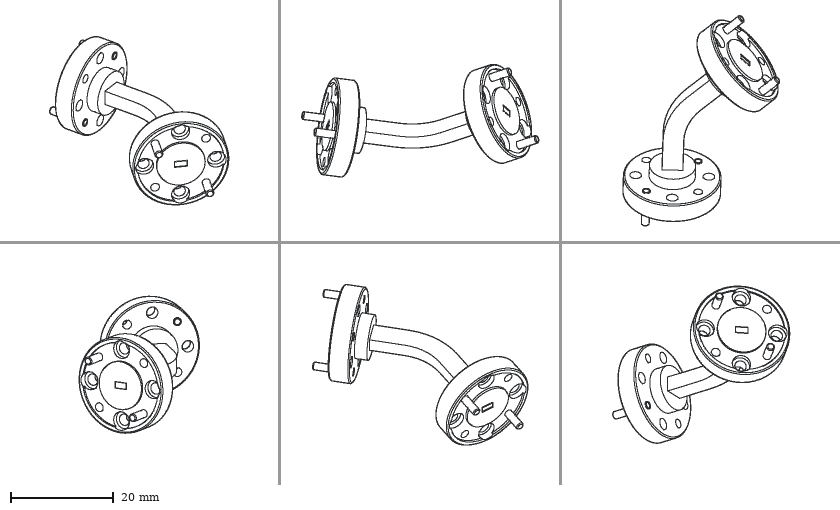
import cadquery as cq
import math

guide_width = 4.05
guide_height = 3.0
bend_angle = 45.0
bend_radius = 12.7
leg_length = 13.85

flange_dia = 19.05
flange_thickness = 4.25
flange_chamfer = 0.25
hub_dia = 9.0
hub_length = 2.5
boss_dia = 9.6
ring_dia = 17.1
ring_depth = 0.47
aperture_width = 2.5
aperture_height = 1.25
aperture_depth = 0.2

pitch_dia = 14.3
screw_hole_dia = 2.25
counterbore_dia = 3.6
counterbore_depth = 1.5
free_hole_dia = 1.73
screw_angles = [0, 90, 180, 270]
free_hole_angles = [45, 225]
dowel_angles = [135, 315]

dowel_dia = 1.55
dowel_reach = 3.85
dowel_chamfer = 0.2
dowel_length = flange_thickness + dowel_reach

turn = math.radians(bend_angle)
leg_direction = cq.Vector(math.cos(turn), -math.sin(turn), 0)
bend_start = cq.Vector(leg_length, 0, 0)
bend_middle = bend_start + cq.Vector(
    bend_radius * math.sin(turn / 2), -bend_radius * (1 - math.cos(turn / 2)), 0
)
bend_end = bend_start + cq.Vector(
    bend_radius * math.sin(turn), -bend_radius * (1 - math.cos(turn)), 0
)
guide_end = bend_end + leg_direction * leg_length

first_face = cq.Plane(origin=(0, 0, 0), xDir=(0, -1, 0), normal=(-1, 0, 0))
second_face = cq.Plane(
    origin=guide_end.toTuple(),
    xDir=(math.sin(turn), math.cos(turn), 0),
    normal=leg_direction.toTuple(),
)
face_planes = [first_face, second_face]


def pitch_points(angles):
    """Points on the pitch circle at the given angles in degrees."""
    radius = pitch_dia / 2
    return [
        (radius * math.cos(math.radians(angle)), radius * math.sin(math.radians(angle)))
        for angle in angles
    ]


def make_guide():
    """Solid bar, running from half-way through one flange to half-way through the other."""
    inset = flange_thickness / 2
    start = cq.Vector(inset, 0, 0)
    end = guide_end - leg_direction * inset
    path = (
        cq.Workplane("XY")
        .moveTo(start.x, start.y)
        .lineTo(bend_start.x, bend_start.y)
        .threePointArc((bend_middle.x, bend_middle.y), (bend_end.x, bend_end.y))
        .lineTo(end.x, end.y)
    )
    return cq.Workplane("YZ", origin=start.toTuple()).rect(guide_width, guide_height).sweep(path)


def make_flange_blank(plane):
    """Chamfered disc with the hub on its back."""
    disc = cq.Workplane(plane).circle(flange_dia / 2).extrude(-flange_thickness)
    disc = disc.edges().chamfer(flange_chamfer)
    hub = cq.Workplane(plane).circle(hub_dia / 2).extrude(-(flange_thickness + hub_length))
    return disc.union(hub)


def make_flange_cuts(plane):
    """Ring recess, aperture and holes, as solids to remove from a flange."""
    face = cq.Workplane(plane)
    ring = face.circle(ring_dia / 2).circle(boss_dia / 2).extrude(-ring_depth)
    aperture = face.rect(aperture_width, aperture_height).extrude(-aperture_depth)
    screws = face.pushPoints(pitch_points(screw_angles))
    screw_holes = screws.circle(screw_hole_dia / 2).extrude(-flange_thickness)
    counterbores = screws.circle(counterbore_dia / 2).extrude(-counterbore_depth)
    free_holes = (
        face.pushPoints(pitch_points(free_hole_angles))
        .circle(free_hole_dia / 2)
        .extrude(-flange_thickness)
    )
    dowel_holes = (
        face.pushPoints(pitch_points(dowel_angles))
        .circle(dowel_dia / 2)
        .extrude(-flange_thickness)
    )
    return [ring, aperture, screw_holes, counterbores, free_holes, dowel_holes]


def make_dowel(plane, point):
    """Round pin with both ends chamfered."""
    return (
        cq.Workplane(plane)
        .workplane(offset=-flange_thickness)
        .center(*point)
        .circle(dowel_dia / 2)
        .extrude(dowel_length)
        .edges("%CIRCLE")
        .chamfer(dowel_chamfer)
    )


waveguide = make_guide()
for plane in face_planes:
    waveguide = waveguide.union(make_flange_blank(plane))
for plane in face_planes:
    for cut in make_flange_cuts(plane):
        waveguide = waveguide.cut(cut)

dowels = []
for plane in face_planes:
    for point in pitch_points(dowel_angles):
        dowels.append(make_dowel(plane, point).val())

result = cq.Compound.makeCompound([waveguide.val(), *dowels])